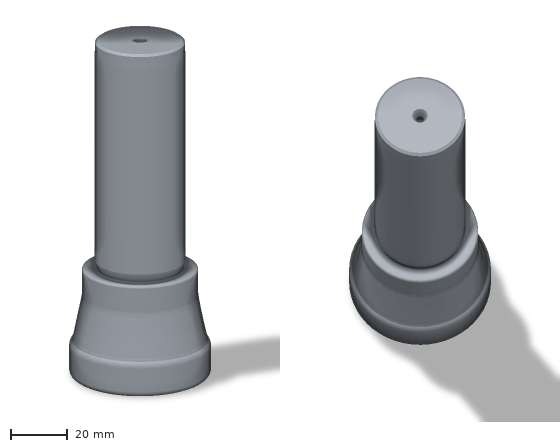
import cadquery as cq
import math

total_height = 125.0
base_radius = 25.0

base_height = 10.5
base_bottom_fillet = 2.1

shoulder_bottom = 10.9
shoulder_top = 13.1
shoulder_radius = 24.0
skirt_bottom = 14.2
skirt_bottom_radius = 23.6
skirt_top = 28.4
skirt_top_radius = 20.8
collar_bottom = 30.2

collar_radius = 20.5
collar_top = 40.0
collar_fillet = 0.9
dish_radius = 18.9
dish_inner_radius = 16.2
dish_depth = 0.6

post_radius = 16.0
neck_radius = 15.1
neck_bottom = 40.0
neck_top = 42.9
lead_radius = 15.9
lead_start = 120.0
tip_chamfer_width = 1.0
tip_chamfer_height = 0.8

countersink_radius = 2.8
pilot_radius = 1.2
countersink_angle = 60.0
pilot_depth = 2.5
drill_point_angle = 118.0


def cone_height(radius_change, included_angle):
    """Height over which a cone's radius changes by the given amount."""
    return radius_change / math.tan(math.radians(included_angle / 2))


def revolve_about_z(profile):
    """Turn a closed (radius, height) profile around the Z axis."""
    return profile.close().revolve(360, (0, 0, 0), (0, 1, 0))


def make_base():
    """Plain disc with a rounded bottom edge."""
    disc = cq.Workplane("XY").circle(base_radius).extrude(base_height)
    return disc.faces("<Z").edges().fillet(base_bottom_fillet)


def make_pillar_blank():
    """Post, collar, skirt and shoulder as one turned shape."""
    up = (0, 1)
    skirt_direction = (skirt_top_radius - skirt_bottom_radius, skirt_top - skirt_bottom)
    dish_direction = (dish_inner_radius - dish_radius, -dish_depth)
    profile = (
        cq.Workplane("XZ")
        .moveTo(0, base_height)
        .lineTo(base_radius, base_height)
        .lineTo(base_radius, shoulder_bottom)
        .tangentArcPoint((shoulder_radius, shoulder_top), relative=False)
        .lineTo(skirt_bottom_radius, skirt_bottom)
        .lineTo(skirt_top_radius, skirt_top)
        .spline([(collar_radius, collar_bottom)], tangents=[skirt_direction, up], includeCurrent=True)
        .lineTo(collar_radius, collar_top - collar_fillet)
        .tangentArcPoint((collar_radius - collar_fillet, collar_top), relative=False)
        .lineTo(dish_radius, collar_top)
        .lineTo(dish_inner_radius, collar_top - dish_depth)
        .spline(
            [(neck_radius, neck_bottom)],
            tangents=[dish_direction, (post_radius - neck_radius, neck_top - neck_bottom)],
            includeCurrent=True,
        )
        .lineTo(post_radius, neck_top)
        .lineTo(post_radius, lead_start)
        .lineTo(lead_radius, total_height - tip_chamfer_height)
        .lineTo(lead_radius - tip_chamfer_width, total_height)
        .lineTo(0, total_height)
    )
    return revolve_about_z(profile)


def make_centre_hole():
    """Countersink, pilot drilling and drill point."""
    countersink_bottom = total_height - cone_height(countersink_radius - pilot_radius, countersink_angle)
    pilot_bottom = countersink_bottom - pilot_depth
    drill_tip = pilot_bottom - cone_height(pilot_radius, drill_point_angle)
    profile = (
        cq.Workplane("XZ")
        .moveTo(0, total_height)
        .lineTo(countersink_radius, total_height)
        .lineTo(pilot_radius, countersink_bottom)
        .lineTo(pilot_radius, pilot_bottom)
        .lineTo(0, drill_tip)
    )
    return revolve_about_z(profile)


base = make_base()
pillar = make_pillar_blank().cut(make_centre_hole())

result = cq.Compound.makeCompound([base.val(), pillar.val()])